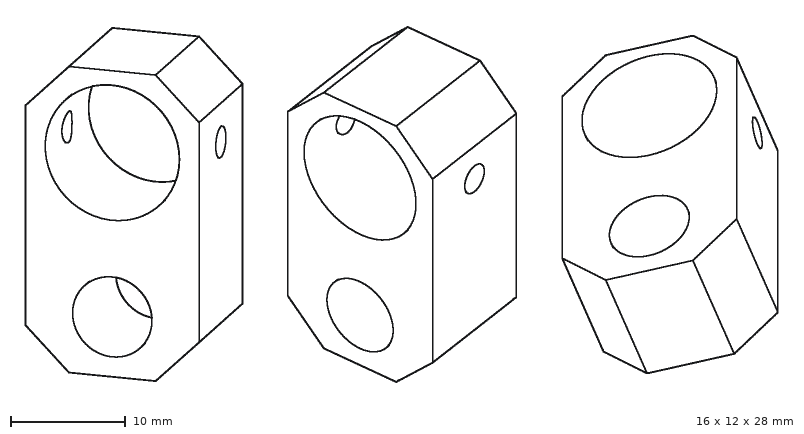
import cadquery as cq

width = 16.0
depth = 12.0
height = 28.0
corner_width = 4.0
corner_height = 3.95

large_bore_diameter = 12.35
large_bore_from_top = 7.5
small_bore_diameter = 7.3
small_bore_from_bottom = 5.5

cross_hole_diameter = 2.8

large_bore_z = height / 2 - large_bore_from_top
small_bore_z = -height / 2 + small_bore_from_bottom


def make_block():
    """Rectangular block with its four long edges cut off at an angle."""
    side_x = width / 2
    end_z = height / 2
    flat_x = side_x - corner_width
    flat_z = end_z - corner_height
    outline = [
        (flat_x, end_z),
        (side_x, flat_z),
        (side_x, -flat_z),
        (flat_x, -end_z),
        (-flat_x, -end_z),
        (-side_x, -flat_z),
        (-side_x, flat_z),
        (-flat_x, end_z),
    ]
    return cq.Workplane("XZ").polyline(outline).close().extrude(depth / 2, both=True)


def make_bore(diameter, z):
    """Cylinder along Y that passes through the whole depth."""
    back_face = cq.Workplane("XZ", origin=(0, depth / 2, z))
    return back_face.circle(diameter / 2).extrude(depth)


def make_cross_hole():
    """Cylinder along X that passes through both side walls."""
    left_side = cq.Workplane("YZ", origin=(-width / 2, 0, large_bore_z))
    return left_side.circle(cross_hole_diameter / 2).extrude(width)


result = (
    make_block()
    .cut(make_bore(large_bore_diameter, large_bore_z))
    .cut(make_bore(small_bore_diameter, small_bore_z))
    .cut(make_cross_hole())
)